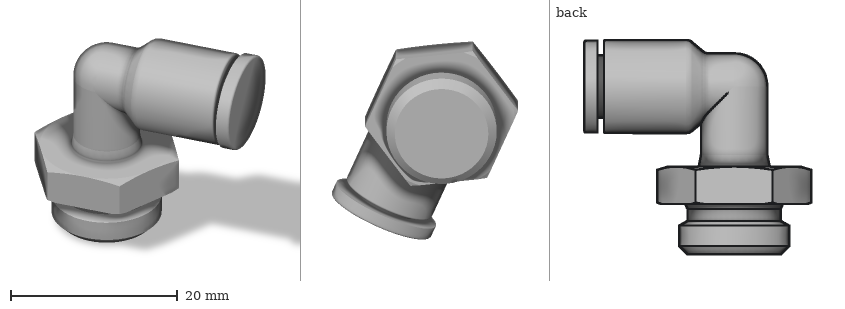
import cadquery as cq
import math


overall_length = 27.2
overall_height = 25.7

elbow_radius = 4.0

hex_across_flats = 16.0
hex_top = -9.6
hex_height = 4.49
hex_bottom = hex_top - hex_height
hex_across_corners = hex_across_flats / math.cos(math.radians(30))
top_chamfer_radius = hex_across_flats / 2
top_chamfer_drop = 0.38
bottom_chamfer_radius = 8.73
bottom_chamfer_rise = 0.2

socket_radius = 5.6
shoulder_start = 3.48
shoulder_end = 5.38
shoulder_blend = 1.0
socket_end = 15.6
socket_edge_round = 0.25

collar_neck_radius = 3.75
collar_half_width = 6.53
collar_half_height = 5.52
collar_start = 16.37
collar_end = overall_length - hex_across_corners / 2
collar_edge_round = 0.25

foot_top = -8.2
foot_radius = 4.21
foot_fillet = 0.25

spigot_bottom = socket_radius - overall_height
thread_radius = 6.6
thread_chamfer = 1.0
thread_top = -16.67
undercut_radius = 5.6
undercut_bottom = -16.1
undercut_top = -14.65
undercut_flare_radius = 5.85


def make_elbow():
    """Ball-cornered elbow: a sphere joining the stem and the start of the socket."""
    ball = cq.Workplane("XY").sphere(elbow_radius)
    stem = cq.Workplane("XY").circle(elbow_radius).extrude(foot_top)
    return ball.union(stem)


def make_socket():
    """Round socket with a blended conical shoulder and a rounded free end."""
    profile = (
        cq.Workplane("XZ")
        .moveTo(0, 0)
        .lineTo(0, elbow_radius)
        .lineTo(shoulder_start, elbow_radius)
        .lineTo(shoulder_end, socket_radius)
        .lineTo(socket_end, socket_radius)
        .lineTo(socket_end, 0)
        .close()
    )
    socket = profile.revolve(360, (0, 0, 0), (1, 0, 0))
    socket = socket.faces("%CONE").edges("%CIRCLE").fillet(shoulder_blend)
    return socket.faces(">X").edges().fillet(socket_edge_round)


def make_collar():
    """Oval release collar carried on a round neck."""
    neck = (
        cq.Workplane("YZ", origin=(socket_end, 0, 0))
        .circle(collar_neck_radius)
        .extrude(collar_start - socket_end)
    )
    plate = (
        cq.Workplane("YZ", origin=(collar_start, 0, 0))
        .ellipse(collar_half_width, collar_half_height)
        .extrude(collar_end - collar_start)
        .faces(">X")
        .edges()
        .fillet(collar_edge_round)
    )
    return neck.union(plate)


def make_hexagon():
    """Hexagon with a corner on the X axis, its corners chamfered on both ends."""
    corner_radius = hex_across_corners / 2
    prism = (
        cq.Workplane("XY", origin=(0, 0, hex_bottom))
        .polygon(6, hex_across_corners)
        .extrude(hex_height)
    )
    envelope = (
        cq.Workplane("XZ")
        .moveTo(0, hex_bottom)
        .lineTo(bottom_chamfer_radius, hex_bottom)
        .lineTo(corner_radius, hex_bottom + bottom_chamfer_rise)
        .lineTo(corner_radius, hex_top - top_chamfer_drop)
        .lineTo(top_chamfer_radius, hex_top)
        .lineTo(0, hex_top)
        .close()
        .revolve(360, (0, 0, 0), (0, 1, 0))
    )
    return prism.intersect(envelope)


def make_foot():
    """Slightly conical foot of the stem with a small fillet onto the hexagon."""
    fillet_top = hex_top + foot_fillet
    fillet_offset = foot_fillet * (1 - math.sqrt(0.5))
    return (
        cq.Workplane("XZ")
        .moveTo(0, foot_top)
        .lineTo(elbow_radius, foot_top)
        .lineTo(foot_radius, fillet_top)
        .threePointArc(
            (foot_radius + fillet_offset, hex_top + fillet_offset),
            (foot_radius + foot_fillet, hex_top),
        )
        .lineTo(0, hex_top)
        .close()
        .revolve(360, (0, 0, 0), (0, 1, 0))
    )


def make_spigot():
    """Plain thread cylinder below an undercut, chamfered at its end."""
    return (
        cq.Workplane("XZ")
        .moveTo(0, hex_bottom)
        .lineTo(undercut_flare_radius, hex_bottom)
        .lineTo(undercut_radius, undercut_top)
        .lineTo(undercut_radius, undercut_bottom)
        .lineTo(thread_radius, thread_top)
        .lineTo(thread_radius, spigot_bottom + thread_chamfer)
        .lineTo(thread_radius - thread_chamfer, spigot_bottom)
        .lineTo(0, spigot_bottom)
        .close()
        .revolve(360, (0, 0, 0), (0, 1, 0))
    )


result = (
    make_elbow()
    .union(make_socket())
    .union(make_collar())
    .union(make_foot())
    .union(make_hexagon())
    .union(make_spigot())
)